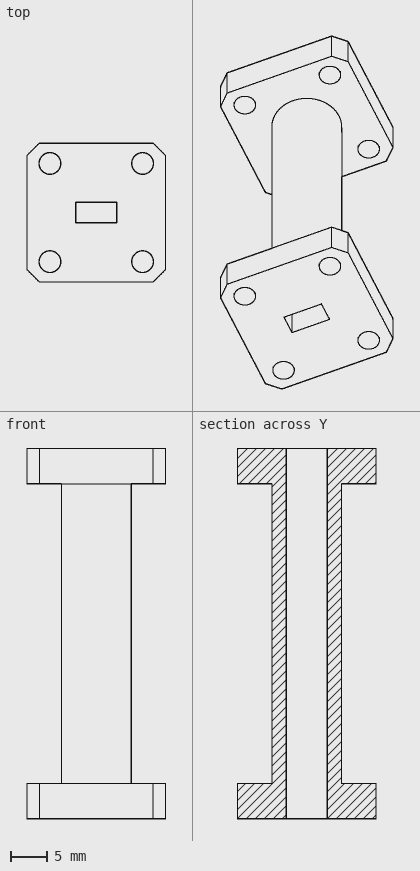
import cadquery as cq

length = 50.8
flange_side = 19.05
flange_thickness = 4.9
corner_chamfer = 1.75

tube_diameter = 9.6

channel_width = 5.6
channel_height = 2.8

hole_diameter = 2.95
hole_spacing_x = 12.7
hole_spacing_y = 13.45


def make_flange(base_z):
    """Square flange with cut corners and four bolt holes, rising from base_z."""
    return (
        cq.Workplane("XY", origin=(0, 0, base_z))
        .rect(flange_side, flange_side)
        .extrude(flange_thickness)
        .edges("|Z")
        .chamfer(corner_chamfer)
        .faces(">Z")
        .workplane()
        .rect(hole_spacing_x, hole_spacing_y, forConstruction=True)
        .vertices()
        .hole(hole_diameter)
    )


bottom_z = -length / 2
top_flange_z = length / 2 - flange_thickness

tube = cq.Workplane("XY", origin=(0, 0, bottom_z)).circle(tube_diameter / 2).extrude(length)
channel = cq.Workplane("XY", origin=(0, 0, bottom_z)).rect(channel_width, channel_height).extrude(length)

result = tube.union(make_flange(bottom_z)).union(make_flange(top_flange_z)).cut(channel)